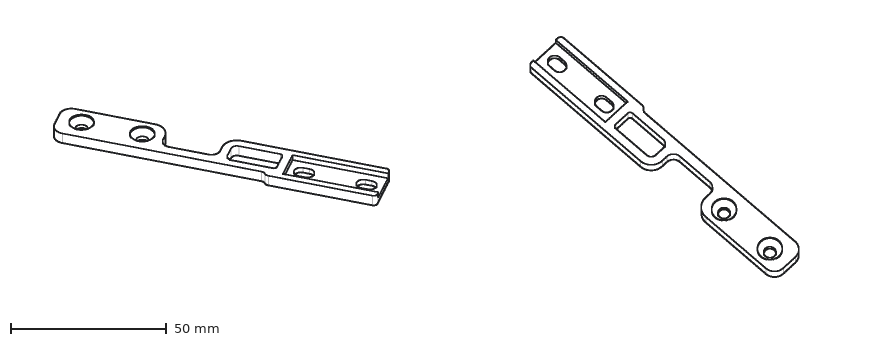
import cadquery as cq

length = 110.0
width = 15.0
thickness = 4.0

step_height = 1.4
step_start = 70.8
step_end = 73.7

notch_left = 35.8
notch_right = 55.0
notch_depth = 10.0
notch_top_radius = 5.0
notch_floor_radius = 3.0

left_corner_radius = 4.0
right_corner_radius = 1.3

screw_spacing = 20.5
screw_x = 8.0
screw_y = width - 6.0
screw_diameter = 4.0
head_diameter = 8.0
head_recess = 0.5
countersink_depth = (head_diameter - screw_diameter) / 2

window_wall = 3.0
window_left = notch_right + window_wall
window_length = 16.9
window_width = 7.7
window_left_radius = notch_top_radius - window_wall
window_right_radius = 1.0

channel_start = 77.9
channel_width = 10.3
channel_depth = 2.0
slot_length = 6.7
slot_width = 4.5
slot_centers = (83.4, 104.4)


def make_plate():
    """Plate outline with the step and the notch, then rounded corners."""
    notch_floor = width - notch_depth
    step_middle = ((step_start + step_end) / 2, step_height / 2)
    plate = (
        cq.Workplane("XY")
        .moveTo(0, step_height)
        .lineTo(step_start, step_height)
        .tangentArcPoint(step_middle, relative=False)
        .tangentArcPoint((step_end, 0), relative=False)
        .lineTo(length, 0)
        .lineTo(length, width)
        .lineTo(notch_right, width)
        .lineTo(notch_right, notch_floor)
        .lineTo(notch_left, notch_floor)
        .lineTo(notch_left, width)
        .lineTo(0, width)
        .close()
        .extrude(thickness)
    )
    corner_groups = (
        (left_corner_radius, ((0, step_height), (0, width))),
        (right_corner_radius, ((length, 0), (length, width))),
        (notch_top_radius, ((notch_left, width), (notch_right, width))),
        (notch_floor_radius, ((notch_left, notch_floor), (notch_right, notch_floor))),
    )
    for radius, corners in corner_groups:
        for x, y in corners:
            corner = cq.selectors.NearestToPointSelector((x, y, thickness / 2))
            plate = plate.edges(corner).fillet(radius)
    return plate


def make_screw_hole(x):
    """Through hole, conical seat and short straight recess at the top."""
    cone_top = thickness - head_recess
    top_radius = head_diameter / 2
    bottom_radius = screw_diameter / 2
    return (
        cq.Workplane("XZ")
        .polyline([
            (0, 0),
            (bottom_radius, 0),
            (bottom_radius, cone_top - countersink_depth),
            (top_radius, cone_top),
            (top_radius, thickness),
            (0, thickness),
        ])
        .close()
        .revolve(360, (0, 0), (0, 1))
        .translate((x, screw_y, 0))
    )


def make_window():
    """Rectangular opening with larger corner radii on the left."""
    window = (
        cq.Workplane("XY")
        .box(window_length, window_width, thickness, centered=False)
        .translate((window_left, width - window_wall - window_width, 0))
    )
    window = window.edges("|Z and <X").fillet(window_left_radius)
    return window.edges("|Z and >X").fillet(window_right_radius)


def make_channel():
    """Shallow channel, centred across the wide end."""
    return (
        cq.Workplane("XY")
        .box(length - channel_start, channel_width, channel_depth, centered=False)
        .translate((channel_start, (width - channel_width) / 2, thickness - channel_depth))
    )


def make_slot(x):
    """Through slot on the channel centreline."""
    return (
        cq.Workplane("XY")
        .center(x, width / 2)
        .slot2D(slot_length, slot_width)
        .extrude(thickness)
    )


result = make_plate().cut(make_window()).cut(make_channel())
for hole_x in (screw_x, screw_x + screw_spacing):
    result = result.cut(make_screw_hole(hole_x))
for slot_x in slot_centers:
    result = result.cut(make_slot(slot_x))